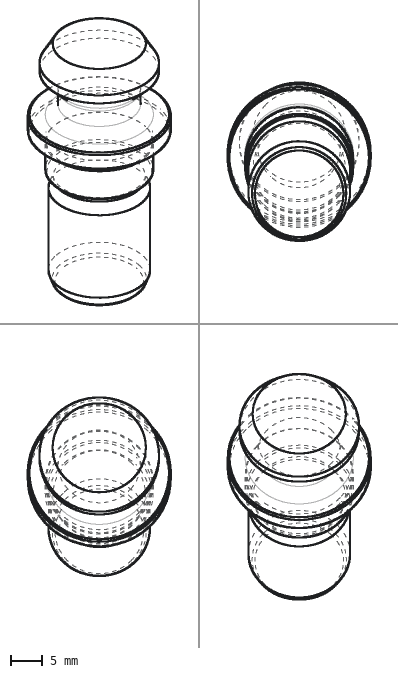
import cadquery as cq
import math


head_radius = 9.4
head_top_angle = 30.0
head_top_height = 3.6
head_rim_height = 1.5

neck_radius = 6.5
neck_upper_fillet = 1.0
neck_lower_fillet = 2.0

flange_radius = 11.25
flange_thickness = 3.1
flange_chamfer = 0.3

relief_radius = 8.35
relief_length = 2.0
relief_fillet = 0.25
pilot_radius = 8.5
pilot_length = 5.4
pilot_top_chamfer = pilot_radius - relief_radius
pilot_bottom_chamfer = 0.3

undercut_radius = 7.25
undercut_length = 1.1
undercut_fillet = 0.8
shank_radius = 8.0
shank_taper_angle = 20.0
tip_taper_length = 1.65
tip_chamfer = 0.45

overall_length = 44.5
flange_top_to_head_top = 13.3


def cone_offset(length, angle):
    """Radius change of a cone over an axial length, for an angle measured from the axis."""
    return length * math.tan(math.radians(angle))


flange_top = flange_thickness
head_top = flange_top + flange_top_to_head_top
head_rim_top = head_top - head_top_height
head_rim_bottom = head_rim_top - head_rim_height
head_top_radius = head_radius - cone_offset(head_top_height, head_top_angle)

neck_corner = head_rim_bottom - (head_radius - neck_radius)
diagonal = math.sqrt(0.5)
half_diagonal_angle = math.radians(45 / 2)
upper_tangent = neck_upper_fillet * math.tan(half_diagonal_angle)
upper_arc_centre_radius = neck_radius + neck_upper_fillet
upper_arc_centre_z = neck_corner - upper_tangent
upper_arc_start = (neck_radius + upper_tangent * diagonal, neck_corner + upper_tangent * diagonal)
upper_arc_middle = (
    upper_arc_centre_radius - neck_upper_fillet * math.cos(half_diagonal_angle),
    upper_arc_centre_z + neck_upper_fillet * math.sin(half_diagonal_angle),
)
upper_arc_end = (neck_radius, upper_arc_centre_z)

pilot_top = -relief_length
pilot_bottom = pilot_top - pilot_length
undercut_bottom = pilot_bottom - undercut_length
shank_top = undercut_bottom - (shank_radius - undercut_radius) / cone_offset(1.0, shank_taper_angle)
shank_end = head_top - overall_length
tip_taper_end = shank_end + tip_chamfer
tip_taper_start = tip_taper_end + tip_taper_length
tip_radius = shank_radius - cone_offset(tip_taper_length, shank_taper_angle)


def fillet_to_wall(profile, wall_radius, face_z, fillet):
    """Inside corner from a downward-facing flat down onto a cylindrical wall."""
    inset = fillet * (1 - diagonal)
    return profile.threePointArc((wall_radius + inset, face_z - inset), (wall_radius, face_z - fillet))


def fillet_to_face(profile, wall_radius, face_z, fillet):
    """Inside corner from a cylindrical wall down onto an upward-facing flat."""
    inset = fillet * (1 - diagonal)
    return profile.threePointArc((wall_radius + inset, face_z + inset), (wall_radius + fillet, face_z))


def stud_profile():
    """Half section in the XZ plane, traced from the head top down to the tip."""
    profile = cq.Workplane("XZ").moveTo(0, head_top).lineTo(head_top_radius, head_top)

    profile = profile.lineTo(head_radius, head_rim_top).lineTo(head_radius, head_rim_bottom)
    profile = profile.lineTo(*upper_arc_start).threePointArc(upper_arc_middle, upper_arc_end)
    profile = profile.lineTo(neck_radius, flange_top + neck_lower_fillet)
    profile = fillet_to_face(profile, neck_radius, flange_top, neck_lower_fillet)

    profile = profile.lineTo(flange_radius - flange_chamfer, flange_top)
    profile = profile.lineTo(flange_radius, flange_top - flange_chamfer)
    profile = profile.lineTo(flange_radius, flange_chamfer)
    profile = profile.lineTo(flange_radius - flange_chamfer, 0)

    profile = profile.lineTo(relief_radius + relief_fillet, 0)
    profile = fillet_to_wall(profile, relief_radius, 0, relief_fillet)
    profile = profile.lineTo(relief_radius, pilot_top + pilot_top_chamfer)
    profile = profile.lineTo(pilot_radius, pilot_top)
    profile = profile.lineTo(pilot_radius, pilot_bottom + pilot_bottom_chamfer)
    profile = profile.lineTo(pilot_radius - pilot_bottom_chamfer, pilot_bottom)

    profile = profile.lineTo(undercut_radius + undercut_fillet, pilot_bottom)
    profile = fillet_to_wall(profile, undercut_radius, pilot_bottom, undercut_fillet)
    profile = profile.lineTo(undercut_radius, undercut_bottom)
    profile = profile.lineTo(shank_radius, shank_top).lineTo(shank_radius, tip_taper_start)
    profile = profile.lineTo(tip_radius, tip_taper_end)
    profile = profile.lineTo(tip_radius - tip_chamfer, shank_end).lineTo(0, shank_end)
    return profile.close()


result = stud_profile().revolve(360, (0, 0, 0), (0, 1, 0))